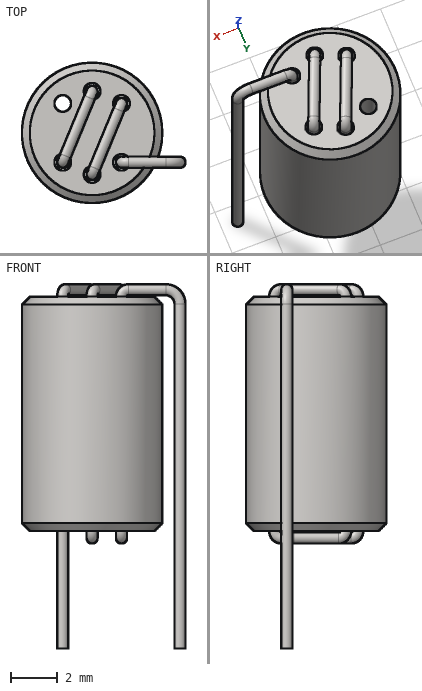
import cadquery as cq
import math

overall_height = 15.54

core_diameter = 6.0
core_height = 9.99
core_chamfer = 0.34

hole_diameter = 0.7
hole_circle_radius = 1.77
hole_spacing_angle = 45
left_rear_angle = 3 * hole_spacing_angle
left_front_angle = 5 * hole_spacing_angle
middle_rear_angle = 2 * hole_spacing_angle
middle_front_angle = 6 * hole_spacing_angle
right_rear_angle = hole_spacing_angle
right_front_angle = 7 * hole_spacing_angle
hole_angles = [
    left_rear_angle,
    left_front_angle,
    middle_rear_angle,
    middle_front_angle,
    right_rear_angle,
    right_front_angle,
]

wire_diameter = 0.48
bend_radius = 0.3
lead_bend_radius = 0.6
outer_lead_x = 3.75

crossing_top_z = core_height + bend_radius
crossing_bottom_z = -bend_radius
lead_tip_z = crossing_top_z + wire_diameter / 2 - overall_height


def hole_position(angle):
    """XY centre of the hole at the given angle in degrees."""
    radians = math.radians(angle)
    return hole_circle_radius * math.cos(radians), hole_circle_radius * math.sin(radians)


def make_core():
    """Chamfered cylinder with six through holes."""
    cylinder = cq.Workplane("XY").circle(core_diameter / 2).extrude(core_height)
    chamfered = cylinder.faces("<Z or >Z").chamfer(core_chamfer)
    hole_centres = [hole_position(angle) for angle in hole_angles]
    holes = (
        cq.Workplane("XY")
        .pushPoints(hole_centres)
        .circle(hole_diameter / 2)
        .extrude(core_height)
    )
    return chamfered.cut(holes).solids()


def wire_corners():
    """Sharp corners of the wire centreline, each with its bend radius."""
    threaded_holes = [
        left_front_angle,
        middle_rear_angle,
        middle_front_angle,
        right_rear_angle,
        right_front_angle,
    ]
    corners = []
    going_up = True
    for angle in threaded_holes:
        x, y = hole_position(angle)
        levels = [crossing_bottom_z, crossing_top_z]
        if not going_up:
            levels.reverse()
        corners += [(cq.Vector(x, y, z), bend_radius) for z in levels]
        going_up = not going_up
    corners.pop(0)
    last_hole_y = hole_position(right_front_angle)[1]
    corners.append((cq.Vector(outer_lead_x, last_hole_y, crossing_top_z), lead_bend_radius))
    return corners


def make_centreline(start, corners, end):
    """Straight runs joined by tangent arcs; every corner is a right angle."""
    points = [start] + [point for point, _ in corners] + [end]
    edges = []
    run_start = start
    for before, (corner, radius), after in zip(points, corners, points[2:]):
        to_before = (before - corner).normalized()
        to_after = (after - corner).normalized()
        arc_start = corner + to_before * radius
        arc_end = corner + to_after * radius
        arc_centre = corner + (to_before + to_after) * radius
        arc_middle = arc_centre + (corner - arc_centre).normalized() * radius
        edges.append(cq.Edge.makeLine(run_start, arc_start))
        edges.append(cq.Edge.makeThreePointArc(arc_start, arc_middle, arc_end))
        run_start = arc_end
    edges.append(cq.Edge.makeLine(run_start, end))
    return cq.Wire.assembleEdges(edges)


def make_wire():
    """One round wire threaded through five holes, with two leads pointing down."""
    start_x, start_y = hole_position(left_front_angle)
    start = cq.Vector(start_x, start_y, lead_tip_z)
    corners = wire_corners()
    last_corner = corners[-1][0]
    end = cq.Vector(last_corner.x, last_corner.y, lead_tip_z)
    centreline = make_centreline(start, corners, end)
    return (
        cq.Workplane("XY", origin=start.toTuple())
        .circle(wire_diameter / 2)
        .sweep(cq.Workplane(centreline))
    )


core = make_core()
wire = make_wire()
result = cq.Compound.makeCompound([core.val(), wire.val()])